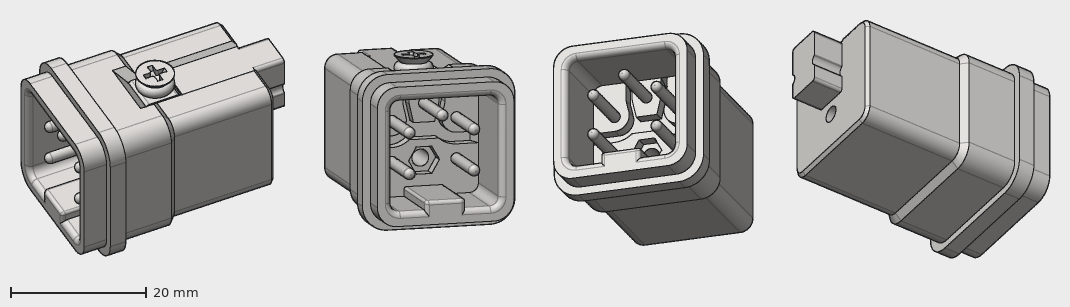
import cadquery as cq
import math

body_width = 21.05
body_corner = 3.03
body_length = 15.42
flange_width = 23.5
flange_corner = 3.85
flange_start = 3.7
flange_end = 6.27
rear_width = 19.0
rear_end = 32.0
rear_chamfer = 0.5
step_chamfer = (body_width - rear_width) / 2
rear_corner = body_corner - step_chamfer

cavity_width = 16.75
cavity_depth = 11.45
cavity_corner = 1.4
mouth_round = 0.92
key_width = 6.15
key_top = -6.95
key_round = 0.4
key_front_round = 0.6

pin_radius = 0.85
tip_round = 0.8
pin_root = 1.85
pin_x = 4.98
pin_z = 3.1
pin_tip = 1.25
earth_pin_z = 5.55
earth_pin_tip = 0.92

slot_depth = 2.0
slot_end_run = 0.7
slot_inner_radius = 2.25
slot_width = 1.77
slot_crest = 0.1
slot_upper_edge = pin_z - slot_inner_radius
slot_lower_edge = slot_upper_edge - slot_width
slot_outer_x = 3.25
island_half_top = 2.3
island_half_bottom = 1.62
island_bottom = 2.65
hex_diameter = 4.75
hex_depth = 2.0
bore_diameter = 2.6

channel_floor = 8.8
channel_half = 2.95
channel_front = 13.95
pocket_end = 19.95
pocket_depth = 0.37
pad_length = 5.72
pad_rise = 0.22
pad_round = 0.55
tongue_width = 5.75
tongue_bottom = -0.63
tongue_end = 36.9
tongue_top_round = 0.6
tongue_bottom_round = 0.48
groove_z = 3.1
groove_radius = 1.07
groove_offset = 0.55
groove_lip_round = 0.2

screw_y = 16.95
overall_height = 23.6
screw_top = overall_height - flange_width / 2
head_radius = 2.88
head_rim = 0.15
head_bottom = 10.75
collar_radius = 2.9
cross_span = 3.5
cross_arm = 0.8
cross_inner_round = 0.35
cross_wall_depth = 0.75
cross_floor_span = 2.65
cross_depth = 1.48


def facing(y):
    """Sketch plane at the given Y, with local axes along +X and +Z."""
    return cq.Workplane("XZ", origin=(0, y, 0))


def rounded_bar(width, corner, start, end):
    """Square bar along Y with rounded long edges."""
    return facing(start).rect(width, width).extrude(start - end).edges("|Y").fillet(corner)


def make_housing():
    front = rounded_bar(body_width, body_corner, 0, body_length).faces(">Y").edges().chamfer(step_chamfer)
    rear = rounded_bar(rear_width, rear_corner, cavity_depth, rear_end).faces(">Y").edges().chamfer(rear_chamfer)
    flange = rounded_bar(flange_width, flange_corner, flange_start, flange_end)
    return front.union(rear).union(flange)


def cut_cavity(housing):
    cavity = rounded_bar(cavity_width, cavity_corner, 0, cavity_depth)
    hollow = housing.cut(cavity)
    mouth_edges = hollow.faces("<Y").val().innerWires()[0].Edges()
    return hollow.newObject(mouth_edges).fillet(mouth_round)


def make_key():
    bottom = -(body_width / 2 + cavity_width / 2 + mouth_round) / 2
    key = (
        facing(0)
        .center(0, (key_top + bottom) / 2)
        .rect(key_width, key_top - bottom)
        .extrude(-cavity_depth)
        .edges("|Y and >Z")
        .fillet(key_round)
    )
    return key.faces("<Y").edges("not <Z").fillet(key_front_round)


def make_pin(x, z, tip):
    """Round-nosed pin along Y, rooted in the back wall beyond its recesses."""
    end = cavity_depth + slot_depth + pin_root
    return facing(tip).center(x, z).circle(pin_radius).extrude(tip - end).faces("<Y").fillet(tip_round)


def make_slot():
    """Branched recess whose ends ramp up to the cavity walls."""
    half = cavity_width / 2
    outer_radius = slot_inner_radius + slot_width
    crest_rise = pin_z - slot_crest
    crest_x = pin_x - math.sqrt(outer_radius ** 2 - crest_rise ** 2)
    crest_angle = (math.asin(crest_rise / outer_radius) + math.pi / 2) / 2

    flank_dx = slot_outer_x - pin_x
    flank_dz = earth_pin_z - pin_z
    tangent_angle = math.atan2(flank_dz, flank_dx) + math.acos(slot_inner_radius / math.hypot(flank_dx, flank_dz))
    inner_angle = (tangent_angle + 1.5 * math.pi) / 2

    def around_pin(radius, angle, side):
        return (side * (pin_x + radius * math.cos(angle)), pin_z + radius * math.sin(angle))

    crest_middle = math.pi + crest_angle
    outline = (
        facing(cavity_depth)
        .moveTo(-slot_outer_x, half)
        .lineTo(-slot_outer_x, earth_pin_z)
        .lineTo(*around_pin(slot_inner_radius, tangent_angle, -1))
        .threePointArc(
            around_pin(slot_inner_radius, inner_angle, -1), (-pin_x, slot_upper_edge)
        )
        .lineTo(-half, slot_upper_edge)
        .lineTo(-half, slot_lower_edge)
        .lineTo(-pin_x, slot_lower_edge)
        .threePointArc(around_pin(outer_radius, crest_middle, -1), (-crest_x, slot_crest))
        .lineTo(crest_x, slot_crest)
        .threePointArc(around_pin(outer_radius, crest_middle, 1), (pin_x, slot_lower_edge))
        .lineTo(half, slot_lower_edge)
        .lineTo(half, slot_upper_edge)
        .lineTo(pin_x, slot_upper_edge)
        .threePointArc(
            around_pin(slot_inner_radius, inner_angle, 1), around_pin(slot_inner_radius, tangent_angle, 1)
        )
        .lineTo(slot_outer_x, earth_pin_z)
        .lineTo(slot_outer_x, half)
        .close()
        .extrude(-slot_depth)
    )
    island = (
        facing(cavity_depth)
        .moveTo(-island_half_top, half)
        .lineTo(-island_half_top, earth_pin_z)
        .lineTo(-island_half_bottom, island_bottom)
        .lineTo(island_half_bottom, island_bottom)
        .lineTo(island_half_top, earth_pin_z)
        .lineTo(island_half_top, half)
        .close()
        .extrude(-slot_depth)
    )
    floor_width = cavity_width - 2 * slot_end_run
    ramp_limit = (
        facing(cavity_depth)
        .rect(cavity_width, cavity_width)
        .workplane(offset=-slot_depth)
        .rect(floor_width, floor_width)
        .loft()
    )
    return outline.cut(island).intersect(ramp_limit)


def make_bore():
    """Through bore along Y with a hexagonal recess in the cavity's back wall."""
    centre = (0, -pin_z)
    socket = facing(cavity_depth).center(*centre).polygon(6, hex_diameter).extrude(-hex_depth)
    bore = facing(cavity_depth).center(*centre).circle(bore_diameter / 2).extrude(cavity_depth - rear_end)
    return socket.union(bore)


def make_channel():
    """Open channel with 45 degree walls at both sides and at its front end."""
    rise = body_width / 2 - channel_floor

    def layer(spread):
        front = channel_front - spread
        return (
            cq.Workplane("XY", origin=(0, 0, channel_floor + spread))
            .center(0, (front + tongue_end) / 2)
            .rect(2 * (channel_half + spread), tongue_end - front)
            .wires()
            .val()
        )

    channel = cq.Workplane(cq.Solid.makeLoft([layer(0), layer(rise)], True))
    pocket = (
        cq.Workplane("XY", origin=(0, 0, channel_floor))
        .center(0, (channel_front + pocket_end) / 2)
        .rect(2 * channel_half, pocket_end - channel_front)
        .extrude(-pocket_depth)
    )
    return channel.union(pocket)


def make_pad():
    """Clamp pad with rounded front and rear edges, in the pocket under the screw."""
    return (
        cq.Workplane("XY", origin=(0, 0, channel_floor - pocket_depth))
        .center(0, channel_front + pad_length / 2)
        .rect(2 * channel_half, pad_length)
        .extrude(pocket_depth + pad_rise)
        .edges("|X and >Z")
        .fillet(pad_round)
    )


def make_tongue():
    root = rear_end - rear_chamfer
    tongue = (
        facing(root)
        .center(0, (channel_floor + tongue_bottom) / 2)
        .rect(tongue_width, channel_floor - tongue_bottom)
        .extrude(root - tongue_end)
    )
    tongue = tongue.edges("|Y and >Z").fillet(tongue_top_round)
    tongue = tongue.edges("|Y and <Z").fillet(tongue_bottom_round)
    for side in (-1, 1):
        axis_x = side * (tongue_width / 2 + groove_offset)
        tongue = tongue.cut(facing(root).center(axis_x, groove_z).circle(groove_radius).extrude(root - tongue_end))
    half_mouth = math.sqrt(groove_radius ** 2 - groove_offset ** 2)
    for side in (-1, 1):
        for edge in (-1, 1):
            lip = (side * tongue_width / 2, (root + tongue_end) / 2, groove_z + edge * half_mouth)
            tongue = tongue.edges(cq.selectors.NearestToPointSelector(lip)).fillet(groove_lip_round)
    return tongue


def make_screw():
    """Countersunk screw with a round-edged collar below its head."""
    pad_top = channel_floor + pad_rise
    edge_round = (head_bottom - pad_top) / 2
    neck_radius = collar_radius - edge_round
    screw = (
        cq.Workplane("XZ", origin=(0, screw_y, 0))
        .moveTo(0, pad_top)
        .lineTo(neck_radius, pad_top)
        .threePointArc((collar_radius, pad_top + edge_round), (neck_radius, head_bottom))
        .lineTo(head_radius, screw_top - head_rim)
        .lineTo(head_radius, screw_top)
        .lineTo(0, screw_top)
        .close()
        .revolve(360, (0, 0), (0, 1))
    )
    return screw.cut(make_cross())


def make_cross():
    """Cross recess with steep arm ends and a conical floor."""
    top = cq.Workplane("XY", origin=(0, screw_y, screw_top))
    arms = top.rect(cross_span, cross_arm).extrude(-cross_depth)
    arms = arms.union(top.rect(cross_arm, cross_span).extrude(-cross_depth))
    inner_corner = cq.selectors.BoxSelector(
        (-cross_arm, screw_y - cross_arm, screw_top - cross_depth),
        (cross_arm, screw_y + cross_arm, screw_top),
    )
    arms = arms.edges("|Z").edges(inner_corner).fillet(cross_inner_round)

    end_slope = (cross_span - cross_floor_span) / cross_wall_depth
    bottom_span = cross_span - end_slope * cross_depth
    end_walls = (
        top.rect(cross_span, cross_span)
        .workplane(offset=-cross_depth)
        .rect(bottom_span, bottom_span)
        .loft()
    )
    cone_slope = cross_floor_span / 2 / (cross_depth - cross_wall_depth)
    floor_cone = cq.Workplane(
        cq.Solid.makeCone(
            cone_slope * cross_depth, 0, cross_depth, cq.Vector(0, screw_y, screw_top), cq.Vector(0, 0, -1)
        )
    )
    return arms.intersect(end_walls).intersect(floor_cone)


result = cut_cavity(make_housing())
result = result.union(make_key())
result = result.cut(make_slot()).cut(make_channel())
result = result.union(make_tongue()).cut(make_bore())
result = result.union(make_pad()).union(make_screw())
result = result.union(make_pin(0, earth_pin_z, earth_pin_tip))
for x in (-pin_x, pin_x):
    for z in (-pin_z, pin_z):
        result = result.union(make_pin(x, z, pin_tip))